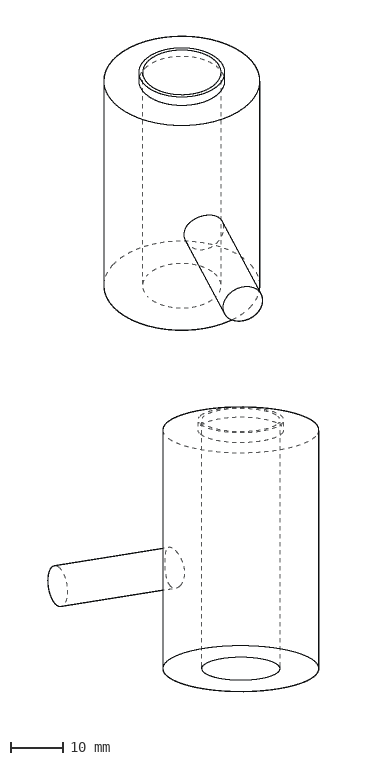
import cadquery as cq

housing_diameter = 30.0
housing_height = 48.0
collar_diameter = 16.5
bore_diameter = 15.0
total_height = 50.0
handle_diameter = 8.0
handle_height = 22.5
overall_length = 55.0

housing_radius = housing_diameter / 2
handle_end = overall_length - housing_radius


def make_barrel():
    """Plain cylinder that sets the outside of the housing."""
    return cq.Workplane("XY").circle(housing_radius).extrude(housing_height)


def make_housing():
    """Barrel with a thin raised collar on top, bored right through."""
    collar = cq.Workplane("XY").circle(collar_diameter / 2).extrude(total_height)
    bore = cq.Workplane("XY").circle(bore_diameter / 2).extrude(total_height)
    return make_barrel().union(collar).cut(bore)


def make_handle():
    """Round rod along +X, its inner end shaped to sit against the barrel."""
    rod = (
        cq.Workplane("YZ")
        .center(0, handle_height)
        .circle(handle_diameter / 2)
        .extrude(handle_end)
    )
    return rod.cut(make_barrel())


housing = make_housing()
handle = make_handle()

result = cq.Compound.makeCompound([housing.val(), handle.val()])